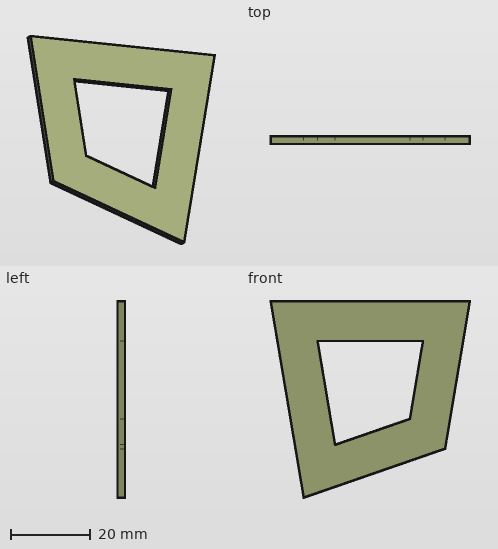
import cadquery as cq

top_width = 50.0
left_height = 49.3
right_height = 37.0
left_inset = 8.3
right_inset = 6.2
rim_width = 10.0
thickness = 2.0


def outer_outline():
    """Outer edge of the frame, with the top left corner at the origin."""
    corners = [
        (0, 0),
        (top_width, 0),
        (top_width - right_inset, -right_height),
        (left_inset, -left_height),
    ]
    return cq.Workplane("XZ").polyline(corners).close()


plate = outer_outline().extrude(thickness)
window = outer_outline().offset2D(-rim_width).extrude(thickness)

result = plate.cut(window)